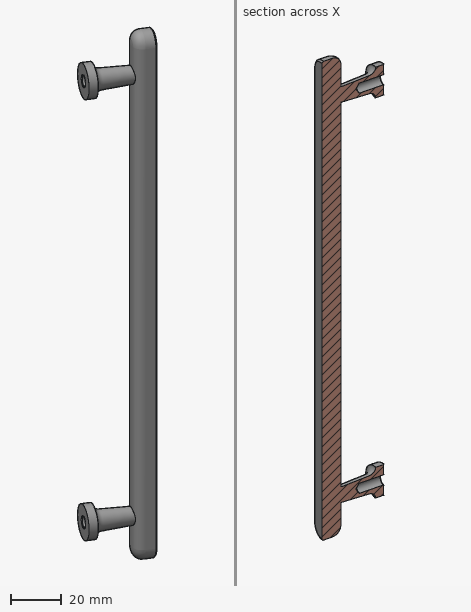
import cadquery as cq
import math

bar_length = 230.0
bar_width = 12.0
bar_depth = 9.2
side_height = 4.8
back_chamfer = 0.7
crown_width = 5.0
crown_height = 0.2

overall_depth = 29.0
post_spacing = 192.0
post_root_diameter = 7.4
post_end_diameter = 9.0
flange_diameter = 15.0
flange_thickness = 4.0

hole_diameter = 4.5
hole_mouth_chamfer = 0.35
hole_depth = 11.5
drill_tip_angle = 118.0

half_width = bar_width / 2
half_crown = crown_width / 2
straight_length = bar_length - bar_width
crown_radius = (half_crown**2 + crown_height**2) / (2 * crown_height)

back_y = overall_depth / 2
side_end_y = back_y - side_height
bar_front_y = back_y - bar_depth
crown_edge_y = bar_front_y + crown_height
foot_y = -overall_depth / 2


def half_section():
    """Half of the bar's cross-section in XY, closed along the middle plane."""
    return (
        cq.Workplane("XY")
        .moveTo(0, back_y)
        .lineTo(half_width - back_chamfer, back_y)
        .lineTo(half_width, back_y - back_chamfer)
        .lineTo(half_width, side_end_y)
        .tangentArcPoint((half_crown, crown_edge_y), relative=False)
        .radiusArc((0, bar_front_y), crown_radius)
        .close()
    )


def turn_about_y(profile):
    """Full revolution of an XY profile about the Y axis."""
    return profile.revolve(360, (0, 0, 0), (0, 1, 0))


def grip_bar():
    """Straight bar whose round ends are the half section turned about Y."""
    half_bar = half_section().extrude(straight_length / 2, both=True)
    bar = half_bar.union(half_bar.mirror("YZ"))
    end_cap = turn_about_y(half_section())
    for side in (-1, 1):
        bar = bar.union(end_cap.translate((0, 0, side * straight_length / 2)))
    return bar


def post():
    """Tapered post that flares in a concave quarter round onto its flange."""
    flange_radius = flange_diameter / 2
    end_radius = post_end_diameter / 2
    flare_radius = flange_radius - end_radius
    flange_back_y = foot_y + flange_thickness
    flare_inset = flare_radius * (1 - math.sqrt(0.5))
    flare_middle = (end_radius + flare_inset, flange_back_y + flare_inset)
    return turn_about_y(
        cq.Workplane("XY")
        .moveTo(0, foot_y)
        .lineTo(flange_radius, foot_y)
        .lineTo(flange_radius, flange_back_y)
        .threePointArc(flare_middle, (end_radius, flange_back_y + flare_radius))
        .lineTo(post_root_diameter / 2, side_end_y)
        .lineTo(0, side_end_y)
        .close()
    )


def screw_hole():
    """Blind hole with a chamfered mouth and a conical bottom."""
    radius = hole_diameter / 2
    tip_length = radius / math.tan(math.radians(drill_tip_angle / 2))
    return turn_about_y(
        cq.Workplane("XY")
        .moveTo(0, foot_y)
        .lineTo(radius + hole_mouth_chamfer, foot_y)
        .lineTo(radius, foot_y + hole_mouth_chamfer)
        .lineTo(radius, foot_y + hole_depth)
        .lineTo(0, foot_y + hole_depth + tip_length)
        .close()
    )


result = grip_bar()
for side in (-1, 1):
    post_position = (0, 0, side * post_spacing / 2)
    result = result.union(post().translate(post_position))
    result = result.cut(screw_hole().translate(post_position))